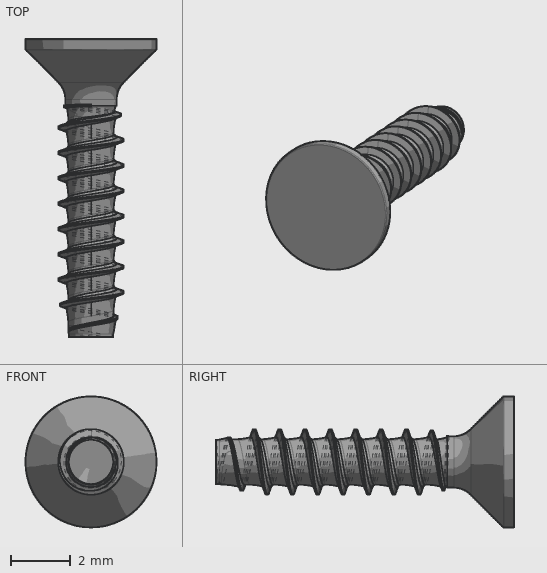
import cadquery as cq
import math


LENGTH = 10.0
HEAD_RADIUS = 2.2
RIM_DEPTH = 0.36
RIM_ROUNDING = 0.035
NECK_RADIUS = 0.865
NECK_END = 2.25
NECK_FILLET = 0.8

CORE_RADIUS = 0.765
NECK_TAPER_RADIUS = 0.835
NECK_TAPER_END = 2.595
TIP_RADIUS = 0.742
TIP_TAPER_START = 9.6
TIP_DIMPLE_DEPTH = 0.08

PITCH = 0.85
CREST_RADIUS = 1.1
CREST_WIDTH = 0.05
FLANK_KINK_RADIUS = 0.86
FLANK_KINK_OFFSET = -0.1
EMBEDDED_RADIUS = 0.7
TIP_SIDE_FOOT_OFFSET = 0.166
POINTS_PER_TURN = 12

SHOULDER_ARC_RADIUS = 2.39
SHOULDER_INNER_RADIUS = 0.66
SHOULDER_BOTTOM_RADIUS = 0.762
SHOULDER_BOTTOM_OFFSET = 0.69
SHOULDER_START_OFFSET = 0.06
SHOULDER_LIMIT_SLOPE = 0.23
SHOULDER_LIMIT_DEPTH = 9.9
SHOULDER_LIMIT_RADIUS = 0.745

HELIX_START = 1.91
LEAD_IN_TURNS = 0.75
CREST_RISE_TURNS = 1.25
START_CREST_RADIUS = 0.87
CREST_FALL_DEPTH = 8.75
CREST_FALL_SLOPE = 0.33
THREAD_END = 9.78


def tangent_arc_radius(rise, run):
    """Radius of an arc that leaves the core along the axis and climbs `rise` over `run`."""
    return (rise**2 + run**2) / (2 * rise)


def arc_rise(arc_radius, run):
    return arc_radius - math.sqrt(arc_radius**2 - run**2)


def make_body():
    """Head, filleted neck, core and tip as one revolved solid."""
    cone_sum = HEAD_RADIUS + RIM_DEPTH
    corner_depth = cone_sum - NECK_RADIUS
    tangent_length = NECK_FILLET * math.tan(math.pi / 8)
    fillet_end = (NECK_RADIUS, -(corner_depth + tangent_length))
    cone_end_radius = NECK_RADIUS + tangent_length * math.sqrt(0.5)
    cone_end = (cone_end_radius, cone_end_radius - cone_sum)
    fillet_middle = (
        NECK_RADIUS + NECK_FILLET * (1 - math.cos(math.pi / 8)),
        fillet_end[1] + NECK_FILLET * math.sin(math.pi / 8),
    )
    taper_run = NECK_TAPER_END - NECK_END
    taper_arc_radius = tangent_arc_radius(NECK_TAPER_RADIUS - CORE_RADIUS, taper_run)
    taper_middle = (
        CORE_RADIUS + arc_rise(taper_arc_radius, taper_run / 2),
        taper_run / 2 - NECK_TAPER_END,
    )
    body = (
        cq.Workplane(cq.Plane((0, 0, 0), xDir=(0, 0, -1), normal=(1, 0, 0)))
        .moveTo(0, 0)
        .lineTo(HEAD_RADIUS, 0)
        .lineTo(HEAD_RADIUS, -RIM_DEPTH)
        .lineTo(*cone_end)
        .threePointArc(fillet_middle, fillet_end)
        .lineTo(NECK_RADIUS, -NECK_END)
        .lineTo(NECK_TAPER_RADIUS, -NECK_END)
        .threePointArc(taper_middle, (CORE_RADIUS, -NECK_TAPER_END))
        .lineTo(CORE_RADIUS, -TIP_TAPER_START)
        .lineTo(TIP_RADIUS, -LENGTH)
        .lineTo(0, TIP_DIMPLE_DEPTH - LENGTH)
        .close()
        .revolve(360, (0, 0, 0), (0, 1, 0))
    )
    rim = cq.selectors.RadiusNthSelector(-1)
    return body.edges("%CIRCLE").edges(rim).fillet(RIM_ROUNDING)


def on_thread(turn, radius, depth):
    """Point at a number of turns from +Z, turning towards -X."""
    angle = 2 * math.pi * turn
    return cq.Vector(-radius * math.sin(angle), -depth, radius * math.cos(angle))


def crest_depth(turn):
    if turn < LEAD_IN_TURNS:
        return HELIX_START + PITCH * (LEAD_IN_TURNS + turn**2 / LEAD_IN_TURNS) / 2
    return HELIX_START + PITCH * turn


def crest_radius(turn):
    rise = (CREST_RADIUS - START_CREST_RADIUS) * turn / CREST_RISE_TURNS
    fall = CREST_FALL_SLOPE * max(0, crest_depth(turn) - CREST_FALL_DEPTH)
    return min(CREST_RADIUS, START_CREST_RADIUS + rise) - fall


def profile_point(corner, turn):
    """A corner (radius, offset along the axis) of the thread profile, placed at a turn."""
    radius, offset = corner
    sink = CREST_RADIUS - crest_radius(turn)
    return on_thread(turn, radius - sink, crest_depth(turn) + offset)


def ridge_edge(corner, start, end):
    """Helical edge that a profile corner follows between two turns."""
    step = (end - start) / POINTS_PER_TURN
    return cq.Edge.makeSpline([profile_point(corner, start + step * i) for i in range(POINTS_PER_TURN + 1)])


def end_face(profile, turn):
    corners = [profile_point(corner, turn) for corner in profile]
    return cq.Face.makeFromWires(cq.Wire.makePolygon(corners, close=True))


def make_ridge():
    """Thread ridge: ruled faces between helical edges, joined turn by turn, with two flat ends."""
    head_side_foot = FLANK_KINK_OFFSET - (FLANK_KINK_RADIUS - EMBEDDED_RADIUS)
    profile = [
        (EMBEDDED_RADIUS, head_side_foot),
        (FLANK_KINK_RADIUS, FLANK_KINK_OFFSET),
        (CREST_RADIUS, -CREST_WIDTH / 2),
        (CREST_RADIUS, CREST_WIDTH / 2),
        (EMBEDDED_RADIUS, TIP_SIDE_FOOT_OFFSET),
    ]
    last_turn = (THREAD_END - HELIX_START) / PITCH
    seams = [*range(math.ceil(last_turn)), last_turn]
    faces = [end_face(profile, seams[0]), end_face(profile, seams[-1])]
    for start, end in zip(seams, seams[1:]):
        edges = [ridge_edge(corner, start, end) for corner in profile]
        for edge, neighbour in zip(edges, edges[1:] + edges[:1]):
            faces.append(cq.Face.makeRuledSurface(edge, neighbour))
    return cq.Solid.makeSolid(cq.Shell.makeShell(faces)).fix()


def make_shoulder_turn():
    """Collar with a hollow flank that follows the regular helix: its first turn."""
    run = SHOULDER_BOTTOM_OFFSET - SHOULDER_START_OFFSET
    top = SHOULDER_BOTTOM_RADIUS + arc_rise(SHOULDER_ARC_RADIUS, run)
    middle = SHOULDER_BOTTOM_RADIUS + arc_rise(SHOULDER_ARC_RADIUS, run / 2)
    collar = (
        cq.Workplane("XZ")
        .moveTo(SHOULDER_INNER_RADIUS, SHOULDER_START_OFFSET)
        .lineTo(top, SHOULDER_START_OFFSET)
        .threePointArc(
            (middle, SHOULDER_START_OFFSET + run / 2),
            (SHOULDER_BOTTOM_RADIUS, SHOULDER_BOTTOM_OFFSET),
        )
        .lineTo(SHOULDER_INNER_RADIUS, SHOULDER_BOTTOM_OFFSET)
        .close()
        .sweep(cq.Workplane(cq.Wire.makeHelix(PITCH, PITCH, CORE_RADIUS)), isFrenet=True)
        .val()
    )
    helix_start = cq.Plane((0, -HELIX_START, 0), xDir=(0, 0, 1), normal=(0, -1, 0))
    return collar.moved(cq.Location(helix_start))


def make_shoulder_limit():
    """Cone that sinks into the core just above the tip and trims the shoulder there."""
    base_radius = SHOULDER_LIMIT_RADIUS + SHOULDER_LIMIT_SLOPE * SHOULDER_LIMIT_DEPTH
    axis = cq.Vector(0, -1, 0)
    return cq.Solid.makeCone(base_radius, SHOULDER_LIMIT_RADIUS, SHOULDER_LIMIT_DEPTH, cq.Vector(0, 0, 0), axis)


def make_screw():
    """Body with the shoulder added turn by turn, then the ridge as one piece."""
    screw = make_body().val()
    first_shoulder = make_shoulder_turn()
    shoulder_limit = make_shoulder_limit()
    for turn in range(math.ceil((SHOULDER_LIMIT_DEPTH - HELIX_START) / PITCH)):
        shoulder = first_shoulder.moved(cq.Location((0, -turn * PITCH, 0)))
        if HELIX_START + (turn + 1) * PITCH + SHOULDER_BOTTOM_OFFSET > SHOULDER_LIMIT_DEPTH:
            shoulder = shoulder.intersect(shoulder_limit)
        screw = screw.fuse(shoulder)
    return screw.fuse(make_ridge())


result = cq.Workplane(make_screw()).solids()